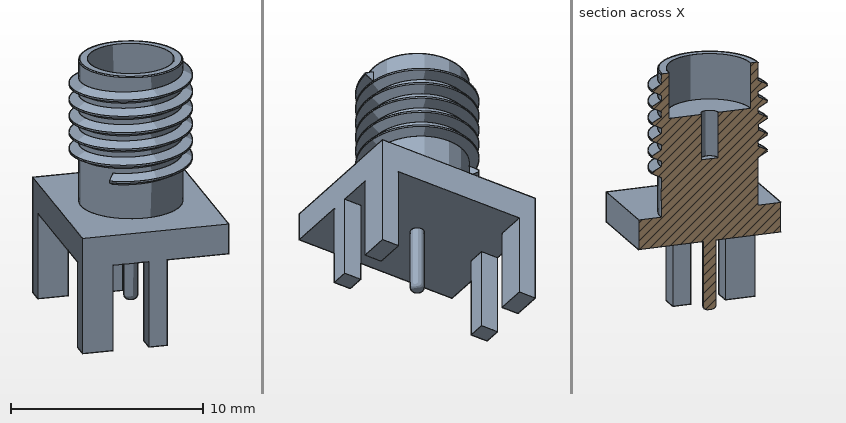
import cadquery as cq

plate_length = 9.52
plate_width = 7.92
plate_thickness = 1.66
leg_height = 4.75
plate_top = leg_height + plate_thickness

leg_thickness = 1.0
front_leg_width = 1.66
rear_leg_width = 1.0
rear_leg_center_y = 0.13

total_height = 14.3
barrel_radius = 2.72
barrel_chamfer = 0.06
bore_radius = 2.26
bore_depth = 2.5
contact_hole_radius = 0.46
contact_hole_depth = 2.5

thread_radius = 3.22
thread_turns = 5.6
thread_rise = 5.08
thread_pitch = thread_rise / thread_turns
thread_end_z = 13.64
thread_start_z = thread_end_z - thread_rise
thread_end_angle = 180.0
thread_start_angle = thread_end_angle - 360.0 * thread_turns
thread_root_height = 0.63
thread_crest_height = 0.1
thread_overlap = 0.07

pin_radius = 0.37
pin_bottom_z = 0.96
pin_tip_fillet = 0.26


def make_base():
    base = cq.Workplane("XY").workplane(offset=leg_height).rect(plate_length, plate_width)
    base = base.extrude(plate_thickness)
    front_leg_center_y = (front_leg_width - plate_width) / 2
    leg_center_x = (plate_length - leg_thickness) / 2
    for side in (-1, 1):
        for center_y, width in ((front_leg_center_y, front_leg_width), (rear_leg_center_y, rear_leg_width)):
            leg = cq.Workplane("XY").center(side * leg_center_x, center_y).rect(leg_thickness, width)
            base = base.union(leg.extrude(leg_height))
    return base


def make_barrel():
    barrel = cq.Workplane("XY").workplane(offset=plate_top).circle(barrel_radius)
    barrel = barrel.extrude(total_height - plate_top)
    return barrel.faces(">Z").edges().chamfer(barrel_chamfer)


def make_thread():
    flank_slope = (thread_root_height - thread_crest_height) / 2 / (thread_radius - barrel_radius)
    buried_half_height = thread_root_height / 2 + flank_slope * thread_overlap
    crest_half_height = thread_crest_height / 2
    inner_radius = barrel_radius - thread_overlap
    helix = cq.Wire.makeHelix(thread_pitch, thread_rise, barrel_radius)
    ridge = (
        cq.Workplane("XZ")
        .polyline([
            (inner_radius, -buried_half_height),
            (thread_radius, -crest_half_height),
            (thread_radius, crest_half_height),
            (inner_radius, buried_half_height),
        ])
        .close()
        .sweep(cq.Workplane(helix), isFrenet=True)
    )
    return ridge.rotate((0, 0, 0), (0, 0, 1), thread_start_angle).translate((0, 0, thread_start_z))


def make_bore():
    bore_floor = total_height - bore_depth
    bore = cq.Workplane("XY").workplane(offset=bore_floor).circle(bore_radius).extrude(bore_depth)
    contact_hole = cq.Workplane("XY").workplane(offset=bore_floor).circle(contact_hole_radius)
    return bore.union(contact_hole.extrude(-contact_hole_depth))


def make_pin():
    pin = cq.Workplane("XY").workplane(offset=pin_bottom_z).circle(pin_radius)
    pin = pin.extrude(leg_height - pin_bottom_z)
    return pin.faces("<Z").edges().fillet(pin_tip_fillet)


threaded_barrel = make_barrel().union(make_thread()).cut(make_bore())
result = make_base().union(threaded_barrel).union(make_pin())